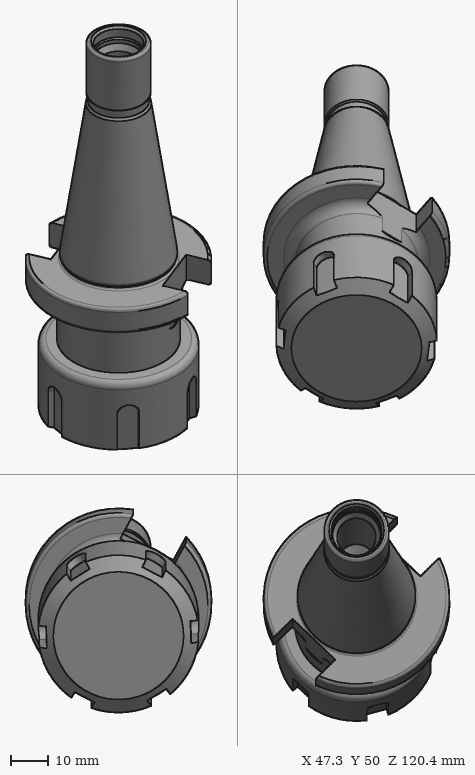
import cadquery as cq
import math

GAUGE_Z = 52.0
SHANK_LENGTH = 68.4
TAPER_LENGTH = 48.4
TOP_Z = GAUGE_Z + SHANK_LENGTH
TAPER_END_Z = GAUGE_Z + TAPER_LENGTH

GAUGE_R = 31.75 / 2
TAPER_RATIO = 7 / 24
TAPER_END_R = GAUGE_R - TAPER_LENGTH * TAPER_RATIO / 2
SPIGOT_R = 17.4 / 2
SPIGOT_EDGE_FILLET = 0.75
GROOVE_R = 16.5 / 2
GROOVE_LENGTH = 3.0
GROOVE_CHAMFER_HEIGHT = 0.7
SPIGOT_CHAMFER = SPIGOT_R - GROOVE_R

FLANGE_R = 25.0
FLANGE_THICKNESS = 8.0
FLANGE_GAUGE_GAP = 1.6
FLANGE_TOP_Z = GAUGE_Z - FLANGE_GAUGE_GAP
FLANGE_BOTTOM_Z = FLANGE_TOP_Z - FLANGE_THICKNESS
FLANGE_EDGE_FILLET = 1.0
TAPER_BASE_OFFSET = 0.3
TAPER_BASE_Z = GAUGE_Z + TAPER_BASE_OFFSET
TAPER_BASE_R = GAUGE_R - TAPER_BASE_OFFSET * TAPER_RATIO / 2
LAND_HEIGHT = 0.65
NECK_R = 15.6
TAPER_ROOT_FILLET = 0.6
BODY_R = 16.6
BODY_FILLET = 3.0

NUT_R = 21.58
NUT_HEIGHT = 24.0
NUT_TOP_FILLET = 2.0
NUT_FACE_R = 17.5
NUT_CHAMFER_HEIGHT = 2.4

WRENCH_SLOT_COUNT = 6
WRENCH_SLOT_WIDTH = 6.0
WRENCH_SLOT_TOP_Z = 16.8
WRENCH_SLOT_FLOOR = 19.4

NOTCH_COUNT = 2
NOTCH_WIDTH = 16.1
NOTCH_FLOOR = 16.3
NOTCH_BOTTOM_Z = 32.7

HOLE_MOUTH_R = 7.4
RECESS_R = 6.75
RECESS_DEPTH = 3.3
RECESS_STEP_DEPTH = 3.8
COUNTERBORE_R = 6.4
COUNTERBORE_DEPTH = 5.0
BORE_R = 5.2
BORE_START_DEPTH = 6.8
BORE_END_DEPTH = 34.0
DRILL_POINT_ANGLE = 118.0

FILLET_MID = math.sqrt(0.5)


def quarter_arc(sketch, center_r, center_z, radius, side_r, side_z, end):
    """Add a quarter round whose middle lies toward (side_r, side_z) from its centre."""
    reach = radius * FILLET_MID
    return sketch.threePointArc((center_r + side_r * reach, center_z + side_z * reach), end)


def make_body():
    """Revolve the outer profile, from the nut face up to the spigot end."""
    nut_round_r = NUT_R - NUT_TOP_FILLET
    nut_round_z = NUT_HEIGHT - NUT_TOP_FILLET
    body_round_r = BODY_R + BODY_FILLET
    body_round_z = FLANGE_BOTTOM_Z - BODY_FILLET
    flange_round_r = FLANGE_R - FLANGE_EDGE_FILLET
    flange_low_z = FLANGE_BOTTOM_Z + FLANGE_EDGE_FILLET
    flange_high_z = FLANGE_TOP_Z - FLANGE_EDGE_FILLET
    root_round_r = NECK_R + TAPER_ROOT_FILLET
    root_round_z = FLANGE_TOP_Z + TAPER_ROOT_FILLET
    spigot_round_r = SPIGOT_R - SPIGOT_EDGE_FILLET
    spigot_round_z = TOP_Z - SPIGOT_EDGE_FILLET
    spigot_low_z = TAPER_END_Z + GROOVE_LENGTH

    profile = cq.Workplane("XZ").moveTo(0, 0)
    profile = profile.lineTo(NUT_FACE_R, 0).lineTo(NUT_R, NUT_CHAMFER_HEIGHT).lineTo(NUT_R, nut_round_z)
    profile = quarter_arc(profile, nut_round_r, nut_round_z, NUT_TOP_FILLET, 1, 1, (nut_round_r, NUT_HEIGHT))
    profile = profile.lineTo(BODY_R, NUT_HEIGHT).lineTo(BODY_R, body_round_z)
    profile = quarter_arc(profile, body_round_r, body_round_z, BODY_FILLET, -1, 1,
                          (body_round_r, FLANGE_BOTTOM_Z))
    profile = profile.lineTo(flange_round_r, FLANGE_BOTTOM_Z)
    profile = quarter_arc(profile, flange_round_r, flange_low_z, FLANGE_EDGE_FILLET, 1, -1,
                          (FLANGE_R, flange_low_z))
    profile = profile.lineTo(FLANGE_R, flange_high_z)
    profile = quarter_arc(profile, flange_round_r, flange_high_z, FLANGE_EDGE_FILLET, 1, 1,
                          (flange_round_r, FLANGE_TOP_Z))
    profile = profile.lineTo(root_round_r, FLANGE_TOP_Z)
    profile = quarter_arc(profile, root_round_r, root_round_z, TAPER_ROOT_FILLET, -1, -1,
                          (NECK_R, root_round_z))
    profile = profile.lineTo(TAPER_BASE_R, TAPER_BASE_Z - LAND_HEIGHT)
    profile = profile.lineTo(TAPER_BASE_R, TAPER_BASE_Z).lineTo(TAPER_END_R, TAPER_END_Z)
    profile = profile.lineTo(GROOVE_R, TAPER_END_Z + GROOVE_CHAMFER_HEIGHT)
    profile = profile.lineTo(GROOVE_R, spigot_low_z).lineTo(SPIGOT_R, spigot_low_z + SPIGOT_CHAMFER)
    profile = profile.lineTo(SPIGOT_R, spigot_round_z)
    profile = quarter_arc(profile, spigot_round_r, spigot_round_z, SPIGOT_EDGE_FILLET, 1, 1,
                          (spigot_round_r, TOP_Z))
    return profile.lineTo(0, TOP_Z).close().revolve(360, (0, 0), (0, 1))


def make_drawbar_hole():
    """Revolve the stepped blind hole that opens in the top face."""
    point_depth = BORE_R / math.tan(math.radians(DRILL_POINT_ANGLE / 2))
    mouth_chamfer = HOLE_MOUTH_R - RECESS_R
    steps = [
        (HOLE_MOUTH_R, 0),
        (RECESS_R, mouth_chamfer),
        (RECESS_R, RECESS_DEPTH),
        (COUNTERBORE_R, RECESS_STEP_DEPTH),
        (COUNTERBORE_R, COUNTERBORE_DEPTH),
        (BORE_R, BORE_START_DEPTH),
        (BORE_R, BORE_END_DEPTH),
        (0, BORE_END_DEPTH + point_depth),
    ]
    profile = cq.Workplane("XZ").moveTo(0, TOP_Z)
    for radius, depth in steps:
        profile = profile.lineTo(radius, TOP_Z - depth)
    return profile.close().revolve(360, (0, 0), (0, 1))


def make_side_slot(width, floor, low_z, high_z):
    """Block on the +X side, outside the floor distance, between two heights."""
    reach = 2 * FLANGE_R - floor
    height = high_z - low_z
    return cq.Workplane("XY").box(reach, width, height, centered=(False, True, False)).translate(
        (floor, 0, low_z))


def make_round_end(width, floor, center_z):
    """Cylinder along X that rounds the end of a slot on the +X side."""
    return cq.Workplane("YZ", origin=(floor, 0, center_z)).circle(width / 2).extrude(2 * FLANGE_R - floor)


def make_wrench_slot():
    """Slot open at the nut face, with a round upper end."""
    center_z = WRENCH_SLOT_TOP_Z - WRENCH_SLOT_WIDTH / 2
    slot = make_side_slot(WRENCH_SLOT_WIDTH, WRENCH_SLOT_FLOOR, 0, center_z)
    return slot.union(make_round_end(WRENCH_SLOT_WIDTH, WRENCH_SLOT_FLOOR, center_z))


def make_driving_notch():
    """Notch through the flange edge, with a round lower end in the body."""
    center_z = NOTCH_BOTTOM_Z + NOTCH_WIDTH / 2
    notch = make_side_slot(NOTCH_WIDTH, NOTCH_FLOOR, center_z, FLANGE_TOP_Z)
    return notch.union(make_round_end(NOTCH_WIDTH, NOTCH_FLOOR, center_z))


def cut_around_axis(part, cutter, count):
    """Cut equally spaced copies of a +X side cutter around the Z axis."""
    for index in range(count):
        part = part.cut(cutter.rotate((0, 0, 0), (0, 0, 1), index * 360 / count))
    return part


result = make_body().cut(make_drawbar_hole())
result = cut_around_axis(result, make_wrench_slot(), WRENCH_SLOT_COUNT)
result = cut_around_axis(result, make_driving_notch(), NOTCH_COUNT)